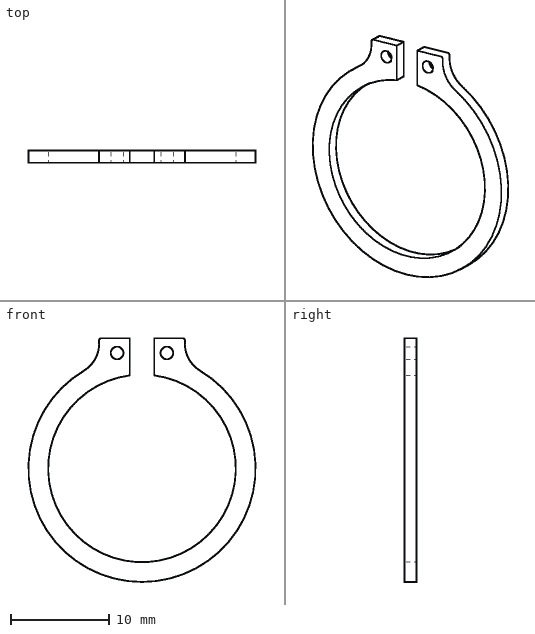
import cadquery as cq
import math

outer_radius = 11.55
inner_radius = 9.53
overall_height = 24.8
thickness = 1.27
gap_width = 2.48
lug_waist_x = 4.37
lug_corner_radius = 0.25
neck_radius = 3.23
hole_diameter = 1.27
hole_spacing = 5.05
hole_below_top = 1.51

lug_top_z = overall_height - outer_radius
gap_half = gap_width / 2

neck_center_x = lug_waist_x + neck_radius
neck_center_z = math.sqrt((outer_radius + neck_radius) ** 2 - neck_center_x**2)
neck_angle = math.atan2(neck_center_z, neck_center_x)
ring_end_x = outer_radius * math.cos(neck_angle)
ring_end_z = outer_radius * math.sin(neck_angle)
lug_corner_x = neck_center_x - math.sqrt(neck_radius**2 - (lug_top_z - neck_center_z) ** 2)
neck_mid_angle = (math.pi + math.pi + neck_angle) / 2
neck_mid_x = neck_center_x + neck_radius * math.cos(neck_mid_angle)
neck_mid_z = neck_center_z + neck_radius * math.sin(neck_mid_angle)
gap_bottom_z = math.sqrt(inner_radius**2 - gap_half**2)


def make_ring():
    """Open ring with a lug on each side of the gap."""
    outline = (
        cq.Workplane("XZ")
        .moveTo(gap_half, gap_bottom_z)
        .lineTo(gap_half, lug_top_z)
        .lineTo(lug_corner_x, lug_top_z)
        .threePointArc((neck_mid_x, neck_mid_z), (ring_end_x, ring_end_z))
        .threePointArc((0, -outer_radius), (-ring_end_x, ring_end_z))
        .threePointArc((-neck_mid_x, neck_mid_z), (-lug_corner_x, lug_top_z))
        .lineTo(-gap_half, lug_top_z)
        .lineTo(-gap_half, gap_bottom_z)
        .threePointArc((0, -inner_radius), (gap_half, gap_bottom_z))
        .close()
    )
    return outline.extrude(thickness / 2, both=True)


def round_lug_corners(ring):
    """Round the outer top corner of each lug."""
    for edge_selector in (">X", "<X"):
        ring = ring.faces(">Z").edges("|Y").edges(edge_selector).fillet(lug_corner_radius)
    return ring


def make_plier_holes():
    """Cylinders for the through hole in each lug."""
    hole_z = lug_top_z - hole_below_top
    centers = [(-hole_spacing / 2, hole_z), (hole_spacing / 2, hole_z)]
    return (
        cq.Workplane("XZ")
        .pushPoints(centers)
        .circle(hole_diameter / 2)
        .extrude(thickness, both=True)
    )


result = round_lug_corners(make_ring()).cut(make_plier_holes())